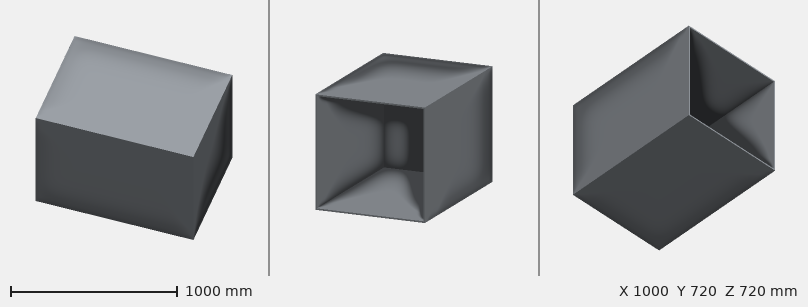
import cadquery as cq

length = 1000.0
side = 720.0
wall = 10.0

inner_side = side - 2 * wall
cavity_depth = length - wall

outer_box = cq.Workplane("YZ").rect(side, side).extrude(length)
cavity = cq.Workplane("YZ").rect(inner_side, inner_side).extrude(cavity_depth)

result = outer_box.cut(cavity)